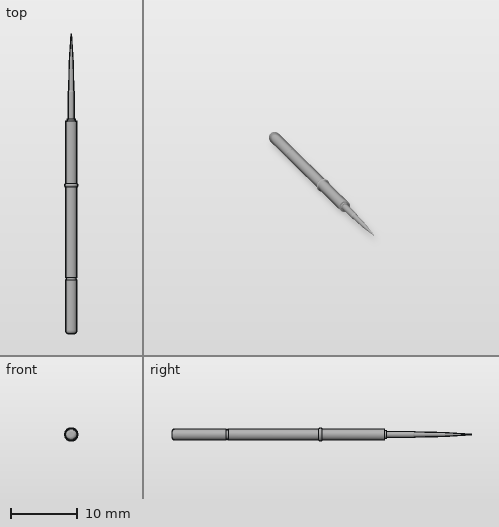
import cadquery as cq
import math


total_length = 44.8
needle_length = 8.4
plunger_length = 4.3
neck_length = 0.3
plunger_chamfer = 0.3
groove_centre_y = 8.25
ring_centre_y = 22.2

barrel_diameter = 1.7
ring_diameter = 2.0
neck_diameter = 1.25
plunger_diameter = 0.96
needle_base_diameter = 0.81
needle_tip_diameter = 0.1

tail_fillet = 0.46
ring_width = 0.5
groove_width = 0.4
groove_depth = 0.13

barrel_radius = barrel_diameter / 2
plunger_radius = plunger_diameter / 2
needle_base_radius = needle_base_diameter / 2
needle_tip_radius = needle_tip_diameter / 2
needle_taper = needle_base_radius - needle_tip_radius
needle_base_y = total_length - needle_length
neck_top_y = needle_base_y - plunger_length
barrel_top_y = neck_top_y - neck_length


def probe_profile():
    """Half section in the XY plane, from the tail up to the needle tip."""
    fillet_shift = tail_fillet * math.sqrt(0.5)
    fillet_middle = (barrel_radius - tail_fillet + fillet_shift, tail_fillet - fillet_shift)
    return (
        cq.Workplane("XY")
        .lineTo(barrel_radius - tail_fillet, 0)
        .threePointArc(fillet_middle, (barrel_radius, tail_fillet))
        .lineTo(barrel_radius, groove_centre_y - groove_width / 2)
        .threePointArc(
            (barrel_radius - groove_depth, groove_centre_y),
            (barrel_radius, groove_centre_y + groove_width / 2),
        )
        .lineTo(barrel_radius, ring_centre_y - ring_width / 2)
        .threePointArc((ring_diameter / 2, ring_centre_y), (barrel_radius, ring_centre_y + ring_width / 2))
        .lineTo(barrel_radius, barrel_top_y)
        .lineTo(neck_diameter / 2, barrel_top_y)
        .lineTo(neck_diameter / 2, neck_top_y)
        .lineTo(plunger_radius, neck_top_y)
        .lineTo(plunger_radius, needle_base_y - plunger_chamfer)
        .lineTo(needle_base_radius, needle_base_y)
        .spline(
            [(needle_tip_radius, total_length)],
            tangents=[(0, 1), (-2 * needle_taper, needle_length)],
            includeCurrent=True,
        )
        .lineTo(0, total_length)
        .close()
    )


result = probe_profile().revolve(360, (0, 0, 0), (0, 1, 0))